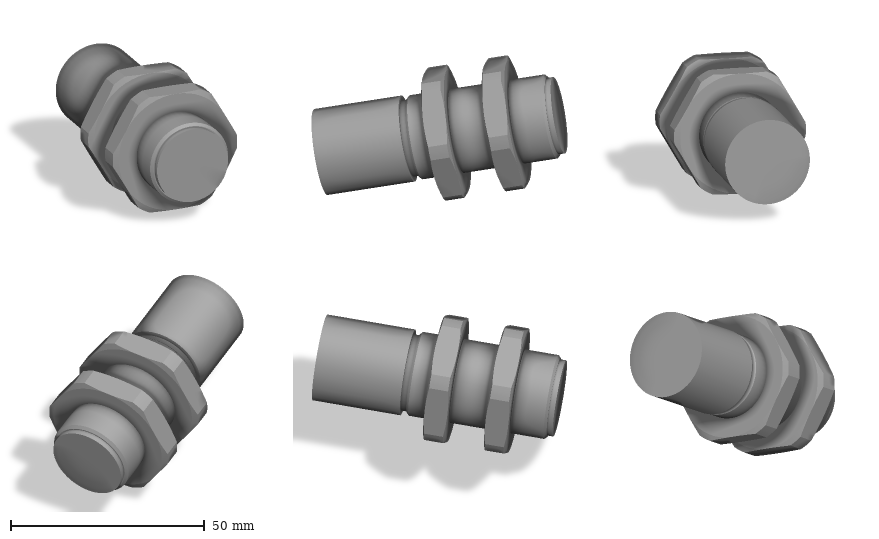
import cadquery as cq
import math

total_length = 63.0
head_diameter = 22.5
head_length = 23.05
groove_diameter = 20.0
groove_length = 1.5
thread_diameter = 22.0
thread_chamfer = 0.7
end_collar_length = 1.5

nut_width = 32.0
nut_corner_diameter = 35.0
nut_thickness = 6.0
nut_chamfer_depth = 0.5
nut_starts = (30.1, 46.1)


def cylinder(start, length, diameter):
    """Solid cylinder on the X axis."""
    return cq.Workplane("YZ", origin=(start, 0, 0)).circle(diameter / 2).extrude(length)


def barrel():
    """Head, grooved neck, chamfered threaded sleeve and end collar."""
    thread_start = head_length + groove_length
    thread_length = total_length - end_collar_length - thread_start
    head = cylinder(0, head_length, head_diameter)
    core = cylinder(head_length, total_length - head_length, groove_diameter)
    thread = cylinder(thread_start, thread_length, thread_diameter).edges("%CIRCLE").chamfer(thread_chamfer)
    return head.union(core).union(thread)


def nut(start):
    """Hexagonal nut with turned corners, coned down to the flats at both faces."""
    hexagon = (
        cq.Workplane("YZ", origin=(start, 0, 0))
        .polygon(6, nut_width / math.cos(math.pi / 6))
        .extrude(nut_thickness)
    )
    face_radius = nut_width / 2
    corner_radius = nut_corner_diameter / 2
    end = start + nut_thickness
    turned_blank = (
        cq.Workplane("XY")
        .moveTo(start, 0)
        .lineTo(start, face_radius)
        .lineTo(start + nut_chamfer_depth, corner_radius)
        .lineTo(end - nut_chamfer_depth, corner_radius)
        .lineTo(end, face_radius)
        .lineTo(end, 0)
        .close()
        .revolve(360, (0, 0, 0), (1, 0, 0))
    )
    return hexagon.intersect(turned_blank)


result = barrel()
for nut_start in nut_starts:
    result = result.union(nut(nut_start))